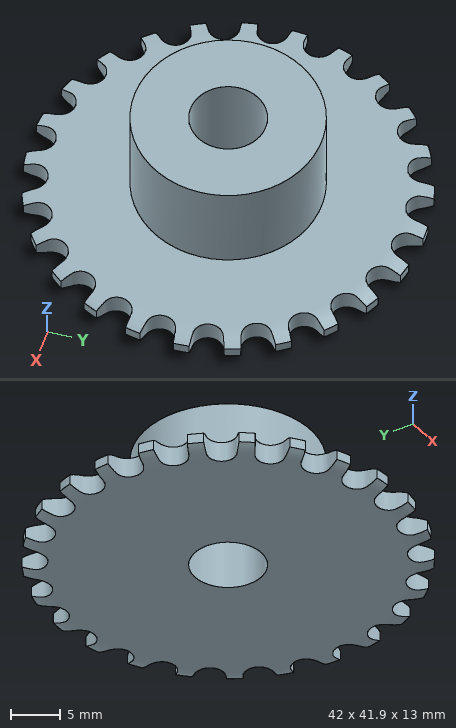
import cadquery as cq
import math

tooth_count = 25
tip_radius = 21.0
pitch = 5.0
roller_radius = 1.6
flank_angle = 10.0
plate_thickness = 2.3
tooth_side_radius = 5.05
flat_face_radius = 18.65
hub_diameter = 20.0
bore_diameter = 8.0
total_height = 13.0

tooth_angle = 360.0 / tooth_count
pitch_radius = pitch / (2 * math.sin(math.radians(tooth_angle / 2)))
rounding_length = tip_radius - flat_face_radius
tip_drop = tooth_side_radius - math.sqrt(tooth_side_radius**2 - rounding_length**2)
clearance = 0.4


def make_blank():
    """Revolved disc whose rim is rounded on both faces, tangent to the flats."""
    half_angle = math.asin(rounding_length / tooth_side_radius) / 2
    mid_radius = flat_face_radius + tooth_side_radius * math.sin(half_angle)
    mid_drop = tooth_side_radius * (1 - math.cos(half_angle))
    return (
        cq.Workplane("XZ")
        .lineTo(flat_face_radius, 0)
        .threePointArc((mid_radius, mid_drop), (tip_radius, tip_drop))
        .lineTo(tip_radius, plate_thickness - tip_drop)
        .threePointArc(
            (mid_radius, plate_thickness - mid_drop),
            (flat_face_radius, plate_thickness),
        )
        .lineTo(0, plate_thickness)
        .close()
        .revolve(360, (0, 0, 0), (0, 1, 0))
    )


def make_gap_cutter():
    """Roller seat on the -Y axis with flanks leaving the seat tangentially."""
    angle = math.radians(flank_angle)
    seat_x = roller_radius * math.cos(angle)
    seat_y = -pitch_radius + roller_radius * math.sin(angle)
    outer_y = -tip_radius - clearance
    outer_x = seat_x + (seat_y - outer_y) * math.tan(angle)
    return (
        cq.Workplane("XY")
        .moveTo(-outer_x, outer_y)
        .lineTo(-seat_x, seat_y)
        .threePointArc((0, -pitch_radius + roller_radius), (seat_x, seat_y))
        .lineTo(outer_x, outer_y)
        .close()
        .extrude(plate_thickness)
    )


result = make_blank()
gap_cutter = make_gap_cutter()
for index in range(tooth_count):
    result = result.cut(gap_cutter.rotate((0, 0, 0), (0, 0, 1), index * tooth_angle))

hub = cq.Workplane("XY").circle(hub_diameter / 2).extrude(total_height)
result = result.union(hub)

bore = cq.Workplane("XY").circle(bore_diameter / 2).extrude(total_height)
result = result.cut(bore)